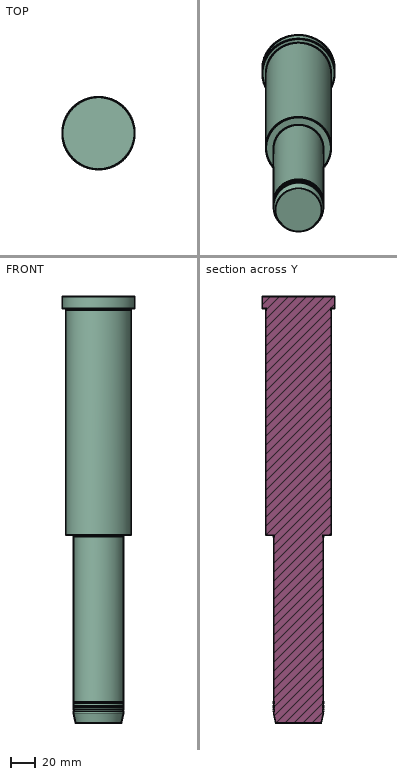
import cadquery as cq

total_length = 351
head_length = 10.2
body_end_depth = 196.5

head_diameter = 60.0
body_diameter = 54.0
shank_diameter = 41.5

edge_chamfer = 0.53
tip_length = 8.0
tip_inset = 1.83

groove_count = 3
groove_width = 1.5
groove_depth = 0.5
groove_pitch = 3.0
lowest_groove_height = 10.0

relief_width = 1.0
relief_depth = 0.5


def cylinder(diameter, bottom, top):
    """Cylinder on the Z axis between two heights."""
    return cq.Workplane("XY").workplane(offset=bottom).circle(diameter / 2).extrude(top - bottom)


def groove(diameter, bottom, width, depth):
    """Ring of material to remove from a cylinder of the given diameter."""
    top = bottom + width
    core = cylinder(diameter - 2 * depth, bottom, top)
    return cylinder(diameter, bottom, top).cut(core)


head_bottom = total_length - head_length
body_bottom = total_length - body_end_depth

head = cylinder(head_diameter, head_bottom, total_length).edges().chamfer(edge_chamfer)
body = cylinder(body_diameter, body_bottom, head_bottom).faces("<Z").edges().chamfer(edge_chamfer)
shank = cylinder(shank_diameter, 0, body_bottom).faces("<Z").edges().chamfer(tip_length, tip_inset)

body = body.cut(groove(body_diameter, head_bottom - relief_width, relief_width, relief_depth))
shank = shank.cut(groove(shank_diameter, body_bottom - relief_width, relief_width, relief_depth))
for index in range(groove_count):
    bottom = lowest_groove_height + index * groove_pitch
    shank = shank.cut(groove(shank_diameter, bottom, groove_width, groove_depth))

result = head.union(body).union(shank)